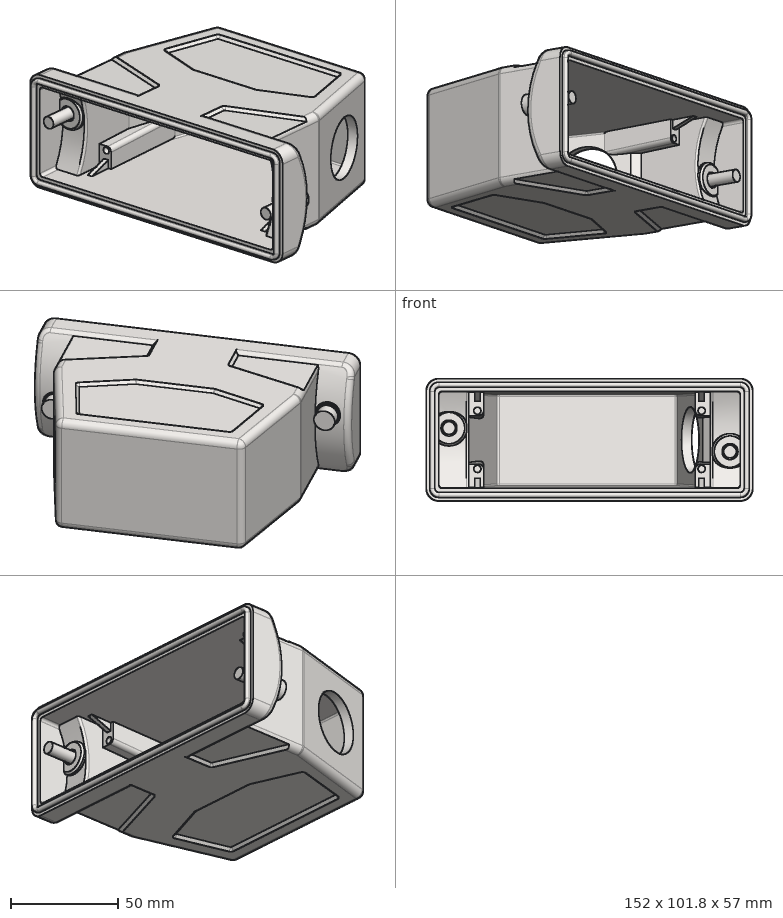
import cadquery as cq
import math


flange_length = 152.0
hood_height = 57.0
flange_peak = 19.9
flange_arch_radius = 50.2
flange_corner_radius = 6.0
flange_edge_fillet = 3.0
rim_wall = 6.0
mouth_corner_radius = 1.5
flange_back_wall = 3.0
shelf_edge_fillet = 1.0

lip_height = 2.3
lip_inset = 1.7
lip_width = 2.5

overall_depth = 101.8
body_top = overall_depth - lip_height
body_half = 59.3
body_top_half = 44.8
body_kink = 47.0
body_fillet = 3.6

cavity_half = 56.2
cavity_floor = 96.5
cavity_floor_half_height = 21.1
thin_wall = 2.7
thick_wall = 5.2
thick_wall_edge = 52.7
floor_end_fillet = 1.2
floor_side_fillet = 0.8

entry_diameter = 30.5
entry_y = 74.8

recess_depth = 1.7
recess_bevel = 1.5
recess_inner_x = 19.0
recess_inner_top = 25.8
recess_outer_top = 40.5
recess_corner_radius = 1.8
panel_depth = 1.7
panel_bevel = 1.5
panel_outline = [(37.2, 90.6), (45.3, 60.2), (18.8, 50.3)]
panel_corner_radius = 1.8

post_front = 26.8
post_back = 79.0
post_inner_x = 49.2
post_inner_z = 11.2
post_draft_angle = 2.0
post_edge_fillet = 2.3
screw_x = 52.1
screw_z = 13.5
screw_diameter = 3.3
screw_depth = 12.2
rib_width = 2.6
rib_front = 14.1
rib_inner_z = 18.0

pin_x = 65.4
pin_z = 5.5
pin_shank_diameter = 6.0
pin_head_diameter = 10.0
pin_head_top = 26.1
pin_front = 0.6
pin_hole_diameter = 7.5
collar_diameter = 16.7
collar_front = 14.6
collar_back = 17.8
collar_chamfer = 1.0
seat_diameter = 12.0
seat_top_diameter = 11.0
seat_bottom = 18.2
seat_top = 20.2

half_length = flange_length / 2
half_height = hood_height / 2
mouth_half_length = half_length - rim_wall
mouth_half_height = half_height - rim_wall
side_slope = (body_half - body_top_half) / (body_top - body_kink)
lean_angle = math.degrees(math.atan(side_slope))
shelf_peak = flange_peak - flange_back_wall
shelf_arch_radius = flange_arch_radius - flange_back_wall
pin_places = [(-pin_x, pin_z), (pin_x, -pin_z)]
corner_sides = [(sx, sz) for sx in (-1, 1) for sz in (-1, 1)]


def side_half_width(y):
    """Half width of the leaning outer side at height y."""
    return body_half - side_slope * (y - body_kink)


def lean_height(half_width):
    """Height y at which the leaning outer side has this half width."""
    return body_kink + (body_half - half_width) / side_slope


def fillet_nearest(solid, point, radius):
    """Round the one edge whose middle lies nearest to the point."""
    return solid.edges(cq.selectors.NearestToPointSelector(point)).fillet(radius)


def y_cylinder(x, z, diameter, y_start, y_end):
    """Cylinder along +Y between two heights."""
    plane = cq.Plane(origin=(x, y_start, z), xDir=(1, 0, 0), normal=(0, 1, 0))
    return cq.Workplane(plane).circle(diameter / 2).extrude(y_end - y_start)


def arched_block(half_width, half_z, peak, arch_radius):
    """Block from the rim to an arched back, with the arch seen along X."""
    edge_y = peak - arch_radius + math.sqrt(arch_radius**2 - half_z**2)
    return (
        cq.Workplane("YZ")
        .moveTo(0, -half_z)
        .lineTo(edge_y, -half_z)
        .threePointArc((peak, 0), (edge_y, half_z))
        .lineTo(0, half_z)
        .close()
        .extrude(half_width, both=True)
    )


def make_flange():
    flange = arched_block(half_length, half_height, flange_peak, flange_arch_radius)
    flange = flange.edges("|Y").fillet(flange_corner_radius)
    return flange.faces("%CYLINDER").faces(">Y").edges().fillet(flange_edge_fillet)


def make_lip():
    """Round-topped bead running once around the rim."""
    center_inset = lip_inset + lip_width / 2
    radius = lip_width / 2
    path_length = flange_length - 2 * center_inset
    path_height = hood_height - 2 * center_inset
    path_block = cq.Workplane("XZ").rect(path_length, path_height).extrude(lip_height)
    path_block = path_block.edges("|Y").fillet(flange_corner_radius - center_inset)
    path = path_block.faces(">Y").wires()
    section = (
        cq.Workplane("YZ")
        .center(0, half_height - center_inset)
        .moveTo(0, -radius)
        .lineTo(radius - lip_height, -radius)
        .threePointArc((-lip_height, 0), (radius - lip_height, radius))
        .lineTo(0, radius)
        .close()
    )
    return section.sweep(path)


def bevelled_cutter(outline, corner_radius, corner_selector, depth, bevel):
    """Cutter for a recess with bevelled walls in the +Z face."""
    cutter = cq.Workplane("XY").workplane(offset=half_height - depth).polyline(outline).close()
    cutter = cutter.extrude(2 * depth)
    cutter = cutter.edges(corner_selector).fillet(corner_radius)
    return cutter.faces("<Z").chamfer(bevel)


def make_corner_recess():
    """Recess between the flange and the sloped edge on the +X side."""
    slope = (recess_outer_top - recess_inner_top) / (body_half - recess_inner_x)
    outer_x = half_length
    outline = [
        (recess_inner_x, 0),
        (recess_inner_x, recess_inner_top),
        (outer_x, recess_inner_top + slope * (outer_x - recess_inner_x)),
        (outer_x, 0),
    ]
    corner = cq.selectors.NearestToPointSelector((recess_inner_x, recess_inner_top, half_height))
    return bevelled_cutter(outline, recess_corner_radius, corner, recess_depth, recess_bevel)


def make_panel_recess():
    outline = panel_outline + [(-x, y) for x, y in reversed(panel_outline)]
    return bevelled_cutter(outline, panel_corner_radius, "|Z", panel_depth, panel_bevel)


def make_body():
    outline = [
        (-body_half, 0),
        (-body_half, body_kink),
        (-body_top_half, body_top),
        (body_top_half, body_top),
        (body_half, body_kink),
        (body_half, 0),
    ]
    body = cq.Workplane("XY").polyline(outline).close().extrude(half_height, both=True)
    body = body.edges("not <Y").fillet(body_fillet)
    corner_recess = make_corner_recess()
    for cutter in (make_panel_recess(), corner_recess, corner_recess.mirror("YZ")):
        body = body.cut(cutter).cut(cutter.mirror("XY"))
    return body


def make_body_cavity():
    floor_half = side_half_width(cavity_floor)
    thick_edge_y = lean_height(thick_wall_edge + thick_wall)
    outline = [
        (-cavity_half, 0),
        (-cavity_half, lean_height(cavity_half + thin_wall)),
        (thin_wall - floor_half, cavity_floor),
        (floor_half - thick_wall, cavity_floor),
        (thick_wall_edge, thick_edge_y),
        (cavity_half, thick_edge_y - (cavity_half - thick_wall_edge)),
        (cavity_half, 0),
    ]
    return cq.Workplane("XY").polyline(outline).close().extrude(half_height, both=True)


def make_cavity_draft():
    """Long wedge whose broad faces are the drafted broad walls of the cavity."""
    section = [
        (0, -mouth_half_height),
        (cavity_floor, -cavity_floor_half_height),
        (cavity_floor, cavity_floor_half_height),
        (0, mouth_half_height),
    ]
    return cq.Workplane("YZ").polyline(section).close().extrude(half_length, both=True)


def make_cavity():
    """Body cavity joined with the wider, shallow cavity of the flange."""
    mouth = arched_block(mouth_half_length, half_height, shelf_peak, shelf_arch_radius)
    cavity = mouth.union(make_body_cavity()).intersect(make_cavity_draft())
    cavity = cavity.faces(">Y").edges("|Z").fillet(floor_end_fillet)
    cavity = cavity.faces(">Y").edges("|X").fillet(floor_side_fillet)
    for side_x, side_z in corner_sides:
        mouth_corner = (side_x * mouth_half_length, shelf_peak / 2, side_z * mouth_half_height)
        cavity = fillet_nearest(cavity, mouth_corner, mouth_corner_radius)
    for side_x in (-1, 1):
        shelf_edge = (side_x * cavity_half, shelf_peak, 0)
        cavity = fillet_nearest(cavity, shelf_edge, shelf_edge_fillet)
    return cavity


def make_post(side_x, side_z):
    """Screw post in one cavity corner, with its rib, thinning toward the mouth."""
    outer_z = half_height - rim_wall / 2
    outer_x = (cavity_half + body_half) / 2
    draft = (post_back - post_front) * math.tan(math.radians(post_draft_angle))
    section = [
        (post_front, outer_z),
        (post_front, post_inner_z),
        (post_back, post_inner_z - draft),
        (post_back, outer_z),
    ]
    post = cq.Workplane("YZ").polyline(section).close().extrude(outer_x - post_inner_x)
    post = post.translate((post_inner_x, 0, 0))
    inner_edge = (post_inner_x, (post_front + post_back) / 2, post_inner_z - draft / 2)
    post = fillet_nearest(post, inner_edge, post_edge_fillet)

    rib_section = [
        (post_front, rib_inner_z),
        (rib_front, mouth_half_height),
        (rib_front, outer_z),
        (post_front, outer_z),
    ]
    rib = cq.Workplane("YZ").polyline(rib_section).close().extrude(rib_width / 2, both=True)
    post = post.union(rib.translate((screw_x, 0, 0)))
    post = post.cut(y_cylinder(screw_x, screw_z, screw_diameter, post_front, post_front + screw_depth))
    if side_x < 0:
        post = post.mirror("YZ")
    if side_z < 0:
        post = post.mirror("XY")
    return post


def make_entry_hole():
    """Cable entry square to the leaning +X side."""
    hole = cq.Workplane("YZ").circle(entry_diameter / 2).extrude(2 * thick_wall, both=True)
    hole = hole.rotate((0, 0, 0), (0, 0, 1), lean_angle)
    return hole.translate((side_half_width(entry_y), entry_y, 0))


def make_pin_collar(x, z):
    """Chamfered collar around the pin hole, inside the flange."""
    collar = y_cylinder(x, z, collar_diameter, collar_front, collar_back)
    return collar.faces("<Y").chamfer(collar_chamfer)


def make_pin_seat(x, z):
    """Low boss under the pin head, on the back of the flange."""
    seat = y_cylinder(x, z, seat_diameter, seat_bottom, seat_top)
    return seat.faces(">Y").chamfer((seat_diameter - seat_top_diameter) / 2)


def make_housing():
    shell = make_flange().union(make_body()).union(make_lip())
    cavity = make_cavity()
    for side_x, side_z in corner_sides:
        cavity = cavity.cut(make_post(side_x, side_z))
    shell = shell.cut(cavity).cut(make_entry_hole())
    for x, z in pin_places:
        shell = shell.union(make_pin_collar(x, z)).union(make_pin_seat(x, z))
        shell = shell.cut(y_cylinder(x, z, pin_hole_diameter, collar_front, seat_top))
    return shell


def make_pin(x, z):
    """Coding pin: a shank through the flange with a wider head outside."""
    shank = y_cylinder(x, z, pin_shank_diameter, pin_front, seat_top)
    head = y_cylinder(x, z, pin_head_diameter, seat_top, pin_head_top)
    return shank.union(head)


housing = make_housing()
pins = [make_pin(x, z) for x, z in pin_places]

result = cq.Compound.makeCompound([housing.val(), *[pin.val() for pin in pins]])